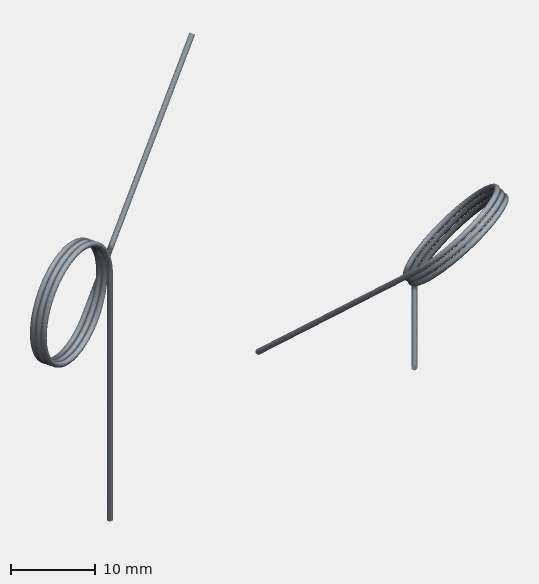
import cadquery as cq
import math

overall_width = 2.85
turn_gap = 0.035
coil_radius = 7.5
lower_leg_length = 35.45
upper_leg_length = 35.65
upper_leg_slope = 44.7
whole_turns = 2

last_turn_angle = 270 + upper_leg_slope
turns = whole_turns + last_turn_angle / 360

wire_diameter = (overall_width - turns * turn_gap) / (turns + 1)
pitch = wire_diameter + turn_gap
coil_length = pitch * turns


def make_coil():
    """Round wire wound from the +X end towards the -X end."""
    start = (coil_length / 2, coil_radius, 0)
    winding_plane = cq.Plane(
        origin=(coil_length / 2, 0, 0), xDir=(0, 1, 0), normal=(-1, 0, 0)
    )
    helix = cq.Wire.makeHelix(pitch, coil_length, coil_radius, lefthand=True)
    path = cq.Workplane(helix.moved(winding_plane.location))
    section = cq.Workplane("XY", origin=start).circle(wire_diameter / 2)
    return section.sweep(path, isFrenet=True)


def extend_end(coil, end_selector, direction, length):
    """Straight leg that continues the wire from one flat end of the coil."""
    end_face = coil.faces("%PLANE").faces(end_selector).val()
    return cq.Workplane(cq.Solid.extrudeLinear(end_face, direction * length))


coil = make_coil()
slope = math.radians(upper_leg_slope)
lower_leg = extend_end(coil, ">X", cq.Vector(0, 0, -1), lower_leg_length)
upper_leg = extend_end(
    coil, "<X", cq.Vector(0, math.cos(slope), math.sin(slope)), upper_leg_length
)
result = coil.union(lower_leg).union(upper_leg)